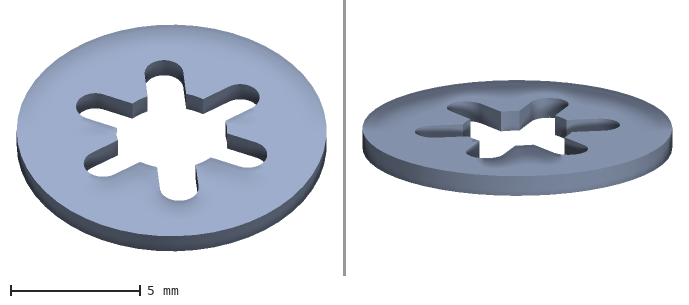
import cadquery as cq

outer_diameter = 12.0
thickness = 0.8
bore_diameter = 4.3
slot_span = 8.0
slot_width = 1.5
slot_count = 6


def make_disc():
    """Flat round washer blank resting on the XY plane."""
    return cq.Workplane("XY").circle(outer_diameter / 2).extrude(thickness)


def cut_bore(body):
    """Central through bore; its wall remains as the tips of the teeth."""
    return body.faces(">Z").workplane().hole(bore_diameter)


def cut_slots(body):
    """Round-ended radial through slots, each cut forming an opposite pair."""
    slot_pitch = 360 / slot_count
    for pair in range(slot_count // 2):
        slot_pair = (
            cq.Workplane("XY")
            .slot2D(slot_span, slot_width, pair * slot_pitch)
            .extrude(thickness)
        )
        body = body.cut(slot_pair)
    return body


result = cut_slots(cut_bore(make_disc()))